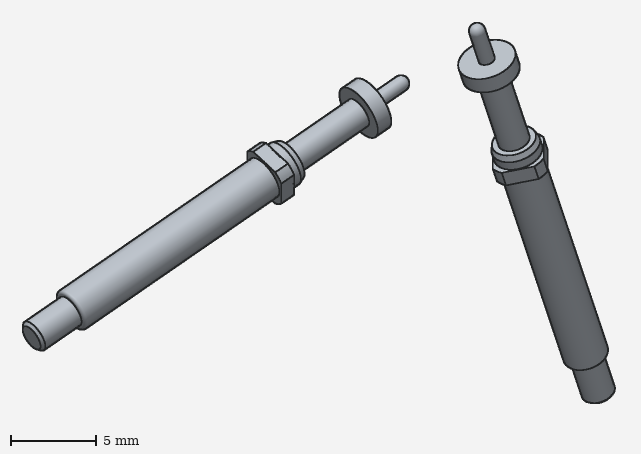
import cadquery as cq

length = 29.1
collar_start = 2.74
collar_end = 3.78
head_start = 9.1
flats_start = 10.1
flats_end = 11.1
body_end = 26.1

pin_radius = 0.5
collar_radius = 1.75
neck_radius = 0.95
head_radius = 1.48
band_radius = 1.83
body_radius = 1.37
tail_radius = 1.02

head_chamfer_length = 0.4
head_chamfer_depth = 0.15
body_fillet = 0.2
tail_chamfer = 0.2

across_flats = 3.08


def turned_section(radius, start, end):
    """Cylinder about Y between two distances from the tip."""
    plane = cq.Workplane("XZ", origin=(0, length / 2 - start, 0))
    return plane.circle(radius).extrude(end - start)


pin = turned_section(pin_radius, pin_radius, collar_start)
dome = cq.Workplane("XY").sphere(pin_radius).translate((0, length / 2 - pin_radius, 0))
collar = turned_section(collar_radius, collar_start, collar_end)
neck = turned_section(neck_radius, collar_end, head_start)
head = turned_section(head_radius, head_start, flats_start)
head = head.faces(">Y").chamfer(head_chamfer_length, head_chamfer_depth)
body = turned_section(body_radius, flats_end, body_end).faces("<Y").fillet(body_fillet)
tail = turned_section(tail_radius, body_end, length).faces("<Y").chamfer(tail_chamfer)

band = turned_section(band_radius, flats_start, flats_end)
band = band.intersect(cq.Workplane("XY").box(across_flats, length, across_flats))

result = pin
for section in (dome, collar, neck, head, band, body, tail):
    result = result.union(section)